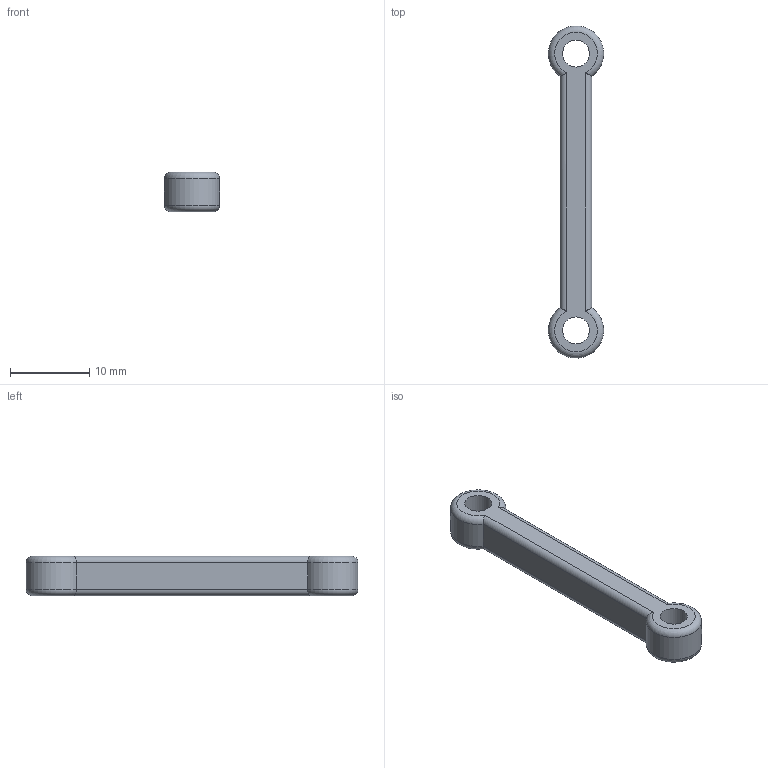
import cadquery as cq

HOLE_SPACING = 35.0
EYE_DIAMETER = 7.0
HOLE_DIAMETER = 3.4
BAR_WIDTH = 4.0
THICKNESS = 5.0
EDGE_RADIUS = 0.8

HOLE_CENTERS = [(0, -HOLE_SPACING / 2), (0, HOLE_SPACING / 2)]


def link_blank():
    """Straight bar joining two round eyes, centred on the origin in X and Y."""
    bar = cq.Workplane("XY").rect(BAR_WIDTH, HOLE_SPACING).extrude(THICKNESS)
    eyes = cq.Workplane("XY").pushPoints(HOLE_CENTERS).circle(EYE_DIAMETER / 2).extrude(THICKNESS)
    return bar.union(eyes)


def round_outline(body):
    """Round the outer edges of the top and bottom faces."""
    return body.faces("<Z or >Z").edges().fillet(EDGE_RADIUS)


def pin_holes():
    """Through holes for the pins, one at the centre of each eye."""
    return cq.Workplane("XY").pushPoints(HOLE_CENTERS).circle(HOLE_DIAMETER / 2).extrude(THICKNESS)


result = round_outline(link_blank()).cut(pin_holes())